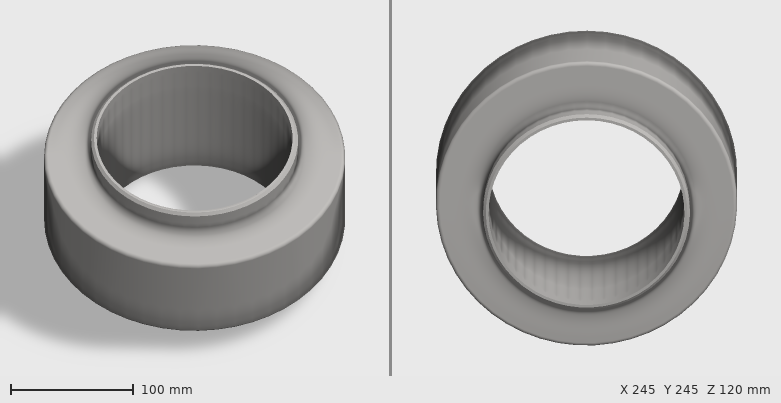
import cadquery as cq

ring_diameter = 245.0
ring_height = 80.0
collar_diameter = 168.3
bore_diameter = 159.3
total_height = 120.0

wall_thickness = (collar_diameter - bore_diameter) / 2
collar_chamfer = wall_thickness / 2
root_radius = 4.5
ring_edge_radius = 3.0


def centred_cylinder(diameter, height):
    """Cylinder about the Z axis, symmetric about the XY plane."""
    return cq.Workplane("XY").cylinder(height, diameter / 2)


def make_ring():
    """Broad outer ring with rounded rims."""
    ring = centred_cylinder(ring_diameter, ring_height)
    return ring.faces("|Z").edges().fillet(ring_edge_radius)


def make_collars():
    """Collar stock running through the ring, with both end rims chamfered."""
    collars = centred_cylinder(collar_diameter, total_height)
    return collars.faces("|Z").edges().chamfer(collar_chamfer)


def round_collar_roots(body):
    """Fillet the two circles where the collars meet the ring faces."""
    margin = 1.0
    half_width = collar_diameter / 2 + margin
    half_depth = ring_height / 2 + margin
    root_box = cq.selectors.BoxSelector(
        (-half_width, -half_width, -half_depth),
        (half_width, half_width, half_depth),
        boundingbox=True,
    )
    return body.edges("%CIRCLE").edges(root_box).fillet(root_radius)


body = round_collar_roots(make_ring().union(make_collars()))
result = body.cut(centred_cylinder(bore_diameter, total_height))